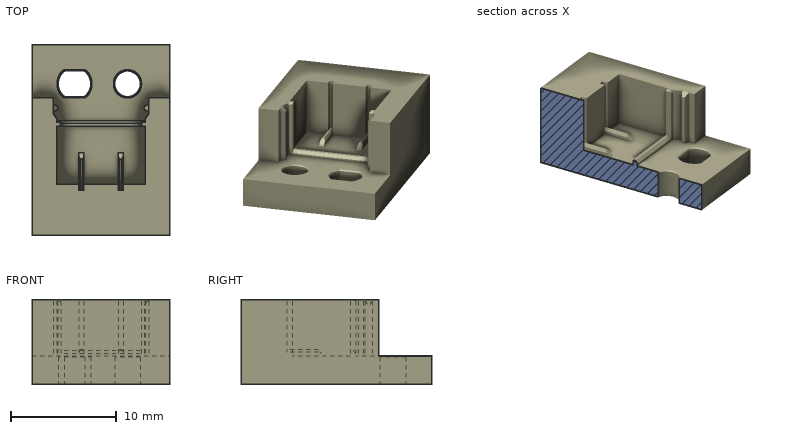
import cadquery as cq

width = 13.0
length = 18.0
height = 8.0
plate_height = 2.7
plate_length = 5.0
block_length = length - plate_length

pocket_half_width = 4.2
mouth_half_width = 4.52
pocket_front = 4.82
taper_front = 11.03
taper_back = 11.54

ridge_front = 10.3
ridge_back = 10.84
ridge_top = plate_height + 0.5
ridge_chamfer = 0.27
tab_width = 0.41
tab_back_chamfer = 0.15
tab_side_chamfer = 0.07

crush_rib_y = 12.02
crush_rib_depth = 0.45
crush_rib_base = 0.72
crush_rib_tip = 0.32
crush_rib_fillet = 0.13
crush_rib_lead_in = 0.4

support_rib_x = 1.85
support_rib_width = 0.47
support_rib_front = 4.28
support_rib_back = 7.8
support_rib_top = plate_height + 0.61
support_rib_top_width = 0.2
support_rib_taper_height = 0.23

hole_x = 2.5
hole_y = length - 3.69
hole_radius = 1.22
slot_radius = 1.55
hole_chamfer = 0.099


def box(x_min, x_max, y_min, y_max, z_min, z_max):
    size = (x_max - x_min, y_max - y_min, z_max - z_min)
    return cq.Workplane("XY").box(*size, centered=False).translate((x_min, y_min, z_min))


def make_pocket():
    """Pocket whose side walls flare out to the rear mouth."""
    right_side = [
        (pocket_half_width, pocket_front),
        (pocket_half_width, taper_front),
        (mouth_half_width, taper_back),
        (mouth_half_width, block_length),
    ]
    left_side = [(-x, y) for x, y in reversed(right_side)]
    outline = cq.Workplane("XY").workplane(offset=plate_height).polyline(right_side + left_side)
    return outline.close().extrude(height - plate_height)


def make_ridge():
    """Cross ridge with its rear top edge chamfered."""
    ridge = box(-pocket_half_width, pocket_half_width, ridge_front, ridge_back, plate_height, ridge_top)
    return ridge.edges(">Y and >Z").chamfer(ridge_chamfer)


def make_tab():
    """Right guide tab, its top chamfered at the rear and inner edges."""
    inner_x = pocket_half_width - tab_width
    tab = box(inner_x, pocket_half_width, ridge_front, ridge_back, plate_height, height)
    tab = tab.edges(">Y and >Z").chamfer(tab_back_chamfer)
    bevel = (
        cq.Workplane("XZ", origin=(0, ridge_back, 0))
        .polyline([
            (inner_x, height),
            (inner_x + tab_side_chamfer, height),
            (inner_x, height - tab_side_chamfer),
        ])
        .close()
        .extrude(ridge_back - ridge_front)
    )
    return tab.cut(bevel)


def make_crush_rib():
    """Right crush rib: rounded trapezoid with a sloped lead-in at its top."""
    tip_x = mouth_half_width - crush_rib_depth
    outline = [
        (mouth_half_width, crush_rib_y - crush_rib_base / 2),
        (mouth_half_width, crush_rib_y + crush_rib_base / 2),
        (tip_x, crush_rib_y + crush_rib_tip / 2),
        (tip_x, crush_rib_y - crush_rib_tip / 2),
    ]
    rib = (
        cq.Workplane("XY")
        .workplane(offset=plate_height)
        .polyline(outline)
        .close()
        .extrude(height - plate_height)
        .edges("|Z and <X")
        .fillet(crush_rib_fillet)
    )
    lead_in = (
        cq.Workplane("XZ", origin=(0, crush_rib_y, 0))
        .polyline([
            (tip_x, height),
            (mouth_half_width, height),
            (tip_x, height - crush_rib_lead_in),
        ])
        .close()
        .extrude(crush_rib_base, both=True)
    )
    return rib.cut(lead_in)


def make_support_slot(x):
    """Slot in the front wall that takes the end of a support rib."""
    half = support_rib_width / 2
    return box(x - half, x + half, support_rib_front, pocket_front, plate_height, height)


def make_support_rib(x):
    """Floor rib with a narrowed top and a 45-degree slope at its rear end."""
    half = support_rib_width / 2
    half_top = support_rib_top_width / 2
    shoulder = support_rib_top - support_rib_taper_height
    section = [
        (x - half, plate_height),
        (x + half, plate_height),
        (x + half, shoulder),
        (x + half_top, support_rib_top),
        (x - half_top, support_rib_top),
        (x - half, shoulder),
    ]
    rib = (
        cq.Workplane("XZ", origin=(0, support_rib_back, 0))
        .polyline(section)
        .close()
        .extrude(support_rib_back - support_rib_front)
    )
    rise = support_rib_top - plate_height
    rear_slope = (
        cq.Workplane("YZ", origin=(x, 0, 0))
        .polyline([
            (support_rib_back, plate_height),
            (support_rib_back, support_rib_top),
            (support_rib_back - rise, support_rib_top),
        ])
        .close()
        .extrude(support_rib_width, both=True)
    )
    return rib.cut(rear_slope)


def cut_holes(plate):
    """Round hole on the right, hole with two flats on the left, both chamfered at the top."""
    round_hole = cq.Workplane("XY").circle(hole_radius).extrude(plate_height)
    flats = cq.Workplane("XY").rect(2 * slot_radius, 2 * hole_radius).extrude(plate_height)
    flat_hole = cq.Workplane("XY").circle(slot_radius).extrude(plate_height).intersect(flats)
    plate = plate.cut(round_hole.translate((hole_x, hole_y, 0)))
    plate = plate.cut(flat_hole.translate((-hole_x, hole_y, 0)))
    rims = plate.faces(">Z").val().innerWires()
    rim_edges = [edge for rim in rims for edge in rim.Edges()]
    return plate.newObject(rim_edges).chamfer(hole_chamfer)


def make_body():
    """Full-length plate with the holes, and the tall block standing on its front part."""
    half_width = width / 2
    plate = cut_holes(box(-half_width, half_width, 0, length, 0, plate_height))
    block = box(-half_width, half_width, 0, block_length, plate_height, height)
    return plate.union(block.cut(make_pocket()))


result = make_body().union(make_ridge())
for side_feature in (make_tab(), make_crush_rib()):
    result = result.union(side_feature).union(side_feature.mirror("YZ"))
for rib_x in (-support_rib_x, support_rib_x):
    result = result.cut(make_support_slot(rib_x))
    result = result.union(make_support_rib(rib_x))